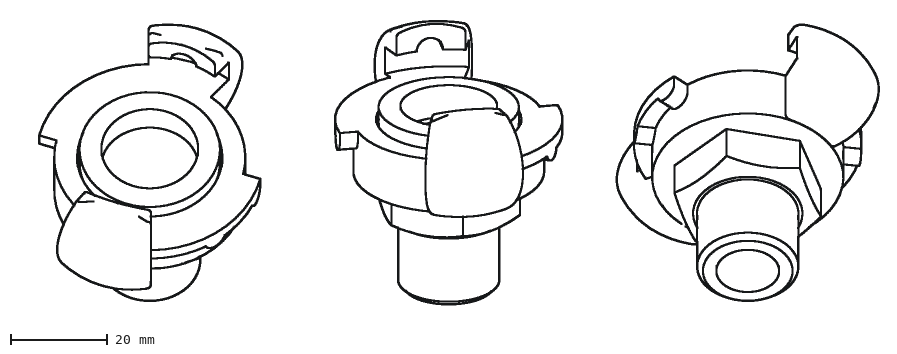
import cadquery as cq
import math

tail_length = 16.0
hex_height = 10.0
flange_height = 12.0
hex_bottom_z = tail_length
flange_bottom_z = hex_bottom_z + hex_height
flange_top_z = flange_bottom_z + flange_height

tail_diameter = 20.95
tail_chamfer = 1.2
hex_across_flats = 27.0
hex_corner_radius = hex_across_flats / math.sqrt(3)
hex_bottom_radius = 11.3
hex_turn = 30
hex_chamfer_angle = math.radians(30)

flange_radius = 39.5 / 2
lip_radius = 47.0 / 2
lip_thickness = 3.0
detent_radius = 2.5
detent_sink = 0.25
detent_angles = (0, -35)

hook_half_angle = 20.2
hook_reach = 63.0 / 2
hook_tube_radius = 12.0
hook_barrel_radius = 20.0
hook_root_radius = 19.0
hook_tip_radius = 21.0
hook_slot_radius = 25.5
hook_slot_height = 6.0
hook_crown_radius = 24.0
hook_edge_fillet = 1.0
hook_groove_radius = 2.75
hook_axis_y = hook_reach - hook_barrel_radius
hook_tube_offset = hook_barrel_radius - hook_tube_radius
hook_tube_y = hook_axis_y + hook_tube_offset
hook_tip_z = flange_top_z + math.sqrt(hook_tube_radius**2 - (hook_tip_radius - hook_tube_y) ** 2)
hook_slot_top_z = flange_top_z + hook_slot_height

bore_radius = 13.0 / 2
seat_mouth_radius = 30.0 / 2
seat_groove_radius = 35.0 / 2
seat_floor_z = 29.0
seat_floor_inner_radius = 14.3
seat_rim_fillet = 3.0
funnel_angle = math.radians(66)

seal_bore_radius = 20.0 / 2
seal_neck_radius = 29.0 / 2
seal_flange_radius = 34.5 / 2
seal_flange_thickness = 3.0
seal_bottom_z = 33.0
seal_bottom_fillet = 2.0
seal_shoulder_z = seal_bottom_z + seal_flange_thickness
seal_projection = 3.0
seal_top_drop = 0.3
seal_inner_top_z = flange_top_z + seal_projection
seal_outer_top_z = seal_inner_top_z - seal_top_drop

margin = 5.0


def cylinder(radius, bottom_z, top_z):
    return cq.Workplane("XY").workplane(offset=bottom_z).circle(radius).extrude(top_z - bottom_z)


def sector(start_angle, end_angle, bottom_z, top_z):
    """Wedge about the Z axis between two angles, reaching past every outer surface."""
    size = 2 * hook_reach
    start = math.radians(start_angle)
    end = math.radians(end_angle)
    return (
        cq.Workplane("XY")
        .workplane(offset=bottom_z)
        .moveTo(0, 0)
        .lineTo(size * math.cos(start), size * math.sin(start))
        .lineTo(size * math.cos(end), size * math.sin(end))
        .close()
        .extrude(top_z - bottom_z)
    )


def make_tail():
    return cylinder(tail_diameter / 2, 0, tail_length).faces("<Z").chamfer(tail_chamfer)


def make_hexagon():
    prism = (
        cq.Workplane("XY")
        .workplane(offset=hex_bottom_z)
        .polygon(6, 2 * hex_corner_radius)
        .extrude(hex_height)
        .rotate((0, 0, 0), (0, 0, 1), hex_turn)
    )
    cone_height = (hex_corner_radius + margin - hex_bottom_radius) * math.tan(hex_chamfer_angle)
    envelope = (
        cq.Workplane("XZ")
        .moveTo(0, hex_bottom_z)
        .lineTo(hex_bottom_radius, hex_bottom_z)
        .lineTo(hex_corner_radius + margin, hex_bottom_z + cone_height)
        .lineTo(hex_corner_radius + margin, flange_bottom_z)
        .lineTo(0, flange_bottom_z)
        .close()
        .revolve(360, (0, 0, 0), (0, 1, 0))
    )
    return prism.intersect(envelope)


def make_lip():
    """Cam lip on the +X side, with its detent ridges underneath."""
    bottom_z = flange_top_z - lip_thickness
    detent_axis_z = flange_top_z - detent_radius + detent_sink
    sweep = sector(-90, 0, bottom_z, flange_top_z)
    end_strip = (
        cq.Workplane("XY")
        .workplane(offset=detent_axis_z)
        .rect(2 * lip_radius, detent_radius, centered=False)
        .extrude(flange_top_z - detent_axis_z)
    )
    disc = cylinder(lip_radius, bottom_z - detent_radius, flange_top_z)
    lip = sweep.union(end_strip)
    for angle in detent_angles:
        ridge = (
            cq.Workplane("YZ")
            .center(0, detent_axis_z)
            .circle(detent_radius)
            .extrude(2 * lip_radius)
            .rotate((0, 0, 0), (0, 0, 1), angle)
        )
        lip = lip.union(ridge)
    return lip.intersect(disc)


def make_hook():
    """Hook on the +Y side: a barrel-shaped claw with flat sides and a cylindrical crown."""
    side_tilt = math.radians(hook_half_angle)
    axis_half_height = math.sqrt(hook_tube_radius**2 - hook_tube_offset**2)
    barrel = (
        cq.Workplane("XZ")
        .moveTo(0, flange_top_z - axis_half_height)
        .threePointArc((hook_barrel_radius, flange_top_z), (0, flange_top_z + axis_half_height))
        .close()
        .revolve(360, (0, 0, 0), (0, 1, 0))
        .translate((0, hook_axis_y, 0))
    )
    crown = (
        cq.Workplane("XZ")
        .center(0, hook_tip_z - hook_crown_radius)
        .circle(hook_crown_radius)
        .extrude(-2 * hook_reach)
    )
    wedge = sector(90 - hook_half_angle, 90 + hook_half_angle, 0, 2 * hook_tip_z)
    core = cylinder(hook_root_radius, 0, 2 * hook_tip_z)
    blank = wedge.cut(core).intersect(barrel).intersect(crown)
    for side in (-1, 1):
        side_normal = cq.Vector(side * math.cos(side_tilt), -math.sin(side_tilt), 0)
        side_face = blank.faces(cq.selectors.ParallelDirSelector(side_normal))
        blank = side_face.edges("not %LINE").fillet(hook_edge_fillet)
    slot = cylinder(hook_slot_radius, flange_top_z, hook_slot_top_z)
    throat = cylinder(hook_tip_radius, flange_top_z, hook_tip_z + margin)
    groove = (
        cq.Workplane("XZ")
        .center(0, hook_slot_top_z)
        .circle(hook_groove_radius)
        .extrude(-2 * hook_reach)
        .intersect(cylinder(hook_slot_radius, 0, hook_tip_z))
    )
    return blank.cut(slot).cut(throat).cut(groove)


def make_bore():
    rim_end_radius = seat_floor_inner_radius - seat_rim_fillet * math.sin(funnel_angle)
    rim_end_z = seat_floor_z - seat_rim_fillet * (1 - math.cos(funnel_angle))
    funnel_bottom_z = rim_end_z - (rim_end_radius - bore_radius) * math.tan(funnel_angle)
    return (
        cq.Workplane("XZ")
        .moveTo(0, -margin)
        .lineTo(bore_radius, -margin)
        .lineTo(bore_radius, funnel_bottom_z)
        .lineTo(rim_end_radius, rim_end_z)
        .radiusArc((seat_floor_inner_radius, seat_floor_z), seat_rim_fillet)
        .lineTo(seat_groove_radius, seat_floor_z)
        .lineTo(seat_groove_radius, seal_shoulder_z)
        .lineTo(seat_mouth_radius, seal_shoulder_z)
        .lineTo(seat_mouth_radius, flange_top_z)
        .lineTo(0, flange_top_z)
        .close()
        .revolve(360, (0, 0, 0), (0, 1, 0))
    )


def make_housing():
    body = make_tail().union(make_hexagon()).union(cylinder(flange_radius, flange_bottom_z, flange_top_z))
    lip = make_lip()
    hook = make_hook()
    for turn in (0, 180):
        for feature in (lip, hook):
            body = body.union(feature.rotate((0, 0, 0), (0, 0, 1), turn))
    return body.cut(make_bore())


def make_seal():
    return (
        cq.Workplane("XZ")
        .moveTo(seal_bore_radius, seal_inner_top_z)
        .lineTo(seal_neck_radius, seal_outer_top_z)
        .lineTo(seal_neck_radius, seal_shoulder_z)
        .lineTo(seal_flange_radius, seal_shoulder_z)
        .lineTo(seal_flange_radius, seal_bottom_z)
        .lineTo(seal_bore_radius + seal_bottom_fillet, seal_bottom_z)
        .radiusArc((seal_bore_radius, seal_bottom_z + seal_bottom_fillet), seal_bottom_fillet)
        .close()
        .revolve(360, (0, 0, 0), (0, 1, 0))
    )


housing = make_housing()
seal = make_seal()
result = cq.Compound.makeCompound([housing.val(), seal.val()])